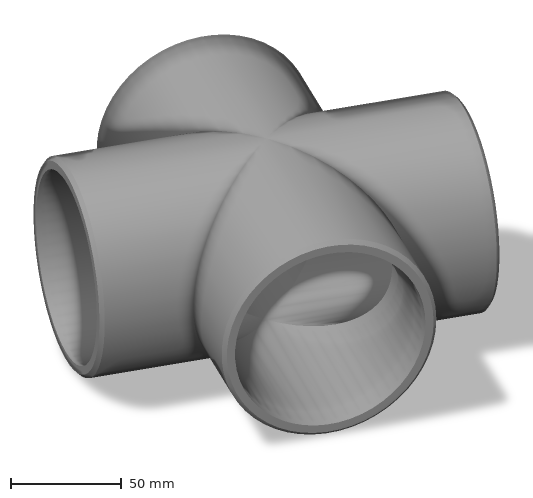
import cadquery as cq

length = 190.0
outer_diameter = 102.0
bore_diameter = 90.5
end_chamfer = 1.9


def centred_rod(plane, diameter):
    """Solid cylinder of the full run length, centred on the origin."""
    return cq.Workplane(plane).circle(diameter / 2).extrude(length / 2, both=True)


def chamfered_rod(plane, end_faces):
    """Outer body of one run, with both end rims chamfered."""
    return centred_rod(plane, outer_diameter).faces(end_faces).chamfer(end_chamfer)


body = chamfered_rod("YZ", "<X or >X").union(chamfered_rod("XZ", "<Y or >Y"))

bores = centred_rod("YZ", bore_diameter).union(centred_rod("XZ", bore_diameter))

result = body.cut(bores)